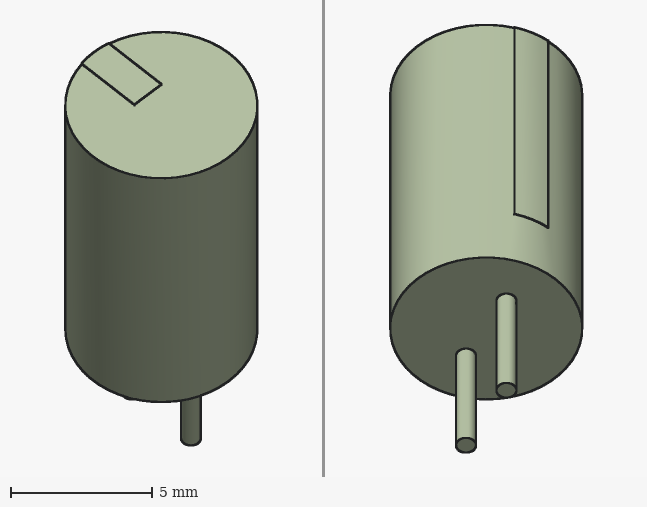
import cadquery as cq

total_height = 16.93
body_diameter = 6.8
body_radius = body_diameter / 2

pin_diameter = 0.71
pin_length = 4.69
pin_spacing = 3.0

mark_proud = 0.02
mark_width = 1.35
mark_inner_x = -0.68
mark_depth = 9.79

body_height = total_height - pin_length - mark_proud
mark_bottom = body_height - mark_depth


def make_mark():
    """Rectangular bar from near the axis to -X, with its outer face rounded like the body."""
    mark_height = mark_depth + mark_proud
    outer_radius = body_radius + mark_proud
    bar_length = outer_radius + mark_inner_x
    bar = (
        cq.Workplane("XY", origin=(mark_inner_x - bar_length / 2, 0, mark_bottom))
        .box(bar_length, mark_width, mark_height, centered=(True, True, False))
    )
    outer_limit = (
        cq.Workplane("XY", origin=(0, 0, mark_bottom))
        .circle(outer_radius)
        .extrude(mark_height)
    )
    return bar.intersect(outer_limit)


def make_body(mark):
    """Plain cylinder with a recess that matches the mark."""
    return cq.Workplane("XY").circle(body_radius).extrude(body_height).cut(mark)


def make_pin(x):
    """Round lead that hangs from the underside of the body."""
    return cq.Workplane("XY").center(x, 0).circle(pin_diameter / 2).extrude(-pin_length)


mark = make_mark()
body = make_body(mark)
pins = [make_pin(side * pin_spacing / 2) for side in (-1, 1)]

result = cq.Compound.makeCompound([body.val(), mark.val(), *[pin.val() for pin in pins]])